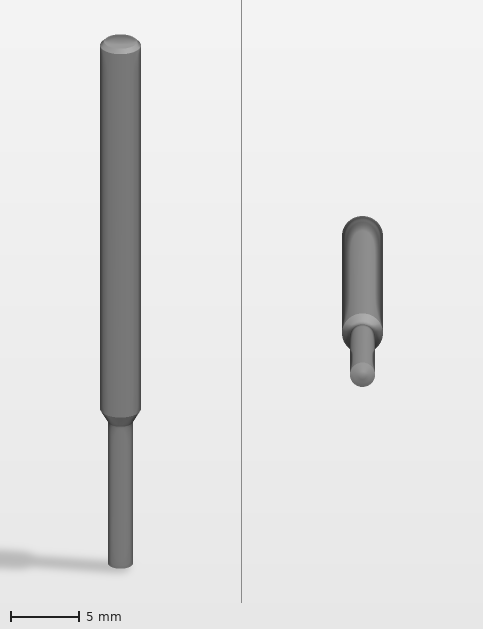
import cadquery as cq

total_length = 43.0
shank_diameter = 3.0

cutter_diameter = 1.85
tip_height = 0.35
cutter_top = 10.92

neck_length = 1.05
taper_length = 1.05
chamfer_height = 0.3
chamfer_width = 0.3

shank_radius = shank_diameter / 2
cutter_radius = cutter_diameter / 2
neck_top = cutter_top + neck_length
taper_top = neck_top + taper_length


def revolve_profile(points):
    """Revolve a closed (radius, height) outline about the Z axis."""
    return cq.Workplane("XZ").polyline(points).close().revolve(360, (0, 0, 0), (0, 1, 0))


def make_cutter():
    """Plain cylinder with a conical point, standing on its tip."""
    return revolve_profile([
        (0, 0),
        (cutter_radius, tip_height),
        (cutter_radius, cutter_top),
        (0, cutter_top),
    ])


def make_shank():
    """Neck, taper and chamfered cylinder, seated on the flat top of the cutter."""
    return revolve_profile([
        (0, cutter_top),
        (cutter_radius, cutter_top),
        (cutter_radius, neck_top),
        (shank_radius, taper_top),
        (shank_radius, total_length - chamfer_height),
        (shank_radius - chamfer_width, total_length),
        (0, total_length),
    ])


cutter = make_cutter()
shank = make_shank()

result = cq.Compound.makeCompound([cutter.val(), shank.val()])